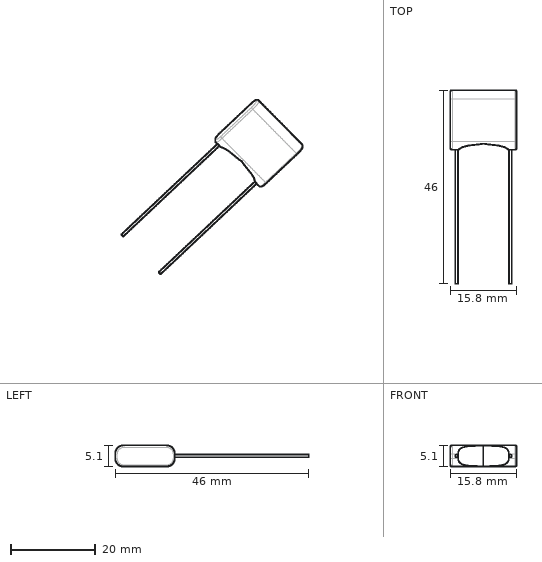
import cadquery as cq

total_length = 45.95
body_width = 15.75
body_length = 14.2
body_height = 5.1

long_edge_radius = 2.0
end_edge_radius = 0.45

recess_half_width = 6.0
recess_depth = 1.45
shoulder_offset = 5.05
shoulder_depth = 0.6
flank_offset = 3.6
flank_depth = 1.0

lead_spacing = 12.75
lead_diameter = 0.7
lead_length = total_length - body_length



def make_blank():
    """Rounded block: large rounds along X, small rounds about both end faces."""
    block = cq.Workplane("XY").box(body_width, body_length, body_height)
    block = block.translate((0, body_length / 2, 0))
    block = block.edges("|X").fillet(long_edge_radius)
    return block.faces("<X or >X").edges().fillet(end_edge_radius)


def make_recess_cutter():
    """Shallow hollow through the full height, from two mirrored curves."""
    left_half = [
        (-recess_half_width, 0),
        (-shoulder_offset, shoulder_depth),
        (-flank_offset, flank_depth),
        (0, recess_depth),
    ]
    right_half = [(-x, y) for x, y in reversed(left_half)]
    return (
        cq.Workplane("XY", origin=(0, 0, -body_height / 2))
        .spline(left_half)
        .spline(right_half)
        .close()
        .extrude(body_height)
    )


def make_housing():
    return make_blank().cut(make_recess_cutter())


def make_lead(x):
    """Straight round wire starting on the front face of the housing."""
    return (
        cq.Workplane("XZ")
        .center(x, 0)
        .circle(lead_diameter / 2)
        .extrude(lead_length)
    )


housing = make_housing()
leads = [make_lead(side * lead_spacing / 2) for side in (-1, 1)]

result = cq.Compound.makeCompound([housing.val(), *[lead.val() for lead in leads]])